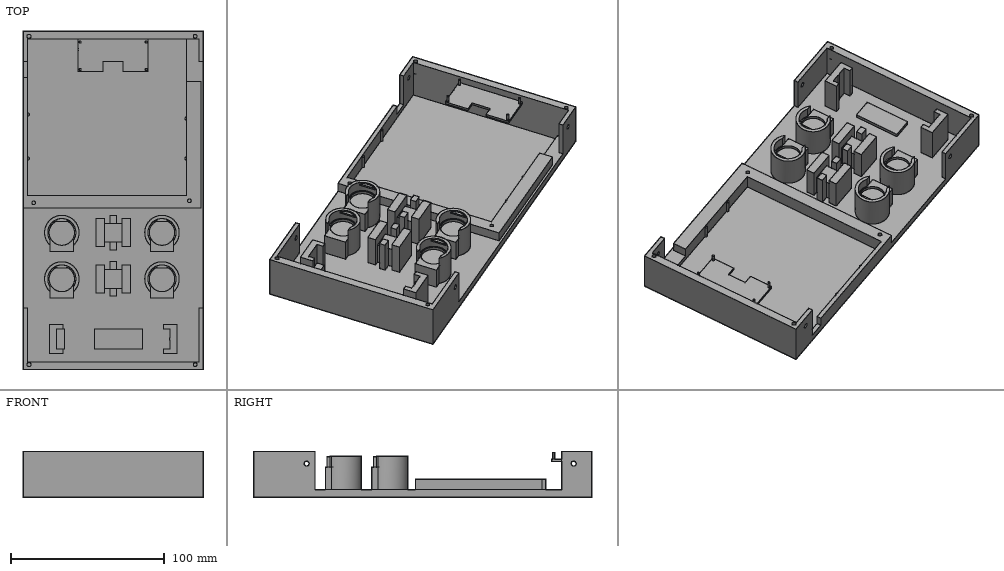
import cadquery as cq
WIDTH = 117.0
LENGTH = 220.0
HEIGHT = 30.0
BASE_HEIGHT = 5.0
END_WALL = 5.0
SIDE_WALL = 2.9
REAR_CHEEK_LENGTH = 19.8
FRONT_CHEEK_LENGTH = 40.0

SURROUND_HEIGHT = 11.9
SURROUND_FRONT = 105.2
SURROUND_LEFT_BACK = 190.0
SURROUND_RIGHT_BACK = 187.5
SURROUND_RIGHT = 115.5
BAY_FLOOR = 1.8
BAY_LEFT = SIDE_WALL
BAY_RIGHT = 106.3
BAY_FRONT = 113.0
BAY_BACK = LENGTH - END_WALL
PEG_DIAMETER = 2.2
PEG_TOP = 10.5
BAY_PEGS = [
    (BAY_LEFT, 165.9),
    (BAY_LEFT, 137.3),
    (BAY_RIGHT, 163.2),
    (BAY_RIGHT, 137.3),
]

CHEEK_HOLE_DIAMETER = 3.0
CHEEK_HOLE_HEIGHT = 22.0
CHEEK_HOLE_Y = [34.5, 208.1]
SCREW_DIAMETER = 2.5
LEFT_SCREW_DIAMETER = 2.6
SCREW_DEPTH = 10.0
SCREW_INSET = 3.3
LEFT_SCREW_X = 3.7
RIGHT_SCREW_X = 111.8
SURROUND_SCREWS = [(6.8, 108.5), (108.0, 109.8)]

SHELF_LEFT = 35.6
SHELF_RIGHT = 81.2
SHELF_FRONT = 193.8
SHELF_BOTTOM = 23.3
SHELF_THICKNESS = 1.5
SHELF_NOTCH_WIDTH = 13.0
SHELF_NOTCH_DEPTH = 6.4
SHELF_PIN_DIAMETER = 1.36
SHELF_PIN_HEIGHT = 4.5
SHELF_PIN_INSET = 1.3
SHELF_PIN_BACK_GAP = 2.0

REAR_ROW_Y = 89.0
ROW_PITCH = 30.1
ROW_Y = [REAR_ROW_Y, REAR_ROW_Y - ROW_PITCH]
LEFT_CUP_X = 25.0
CUP_SPACING = 65.1
CUP_X = [LEFT_CUP_X, LEFT_CUP_X + CUP_SPACING]
CUP_DIAMETER = 22.5
CUP_BORE = 18.3
CUP_TOP = 26.8
CUP_SEAT = 19.8
CUP_POCKET_DIAMETER = 16.5
CUP_POCKET_DEPTH = 2.0
CUP_OPENING = 15.2
CUP_BLOCK_REACH = 12.3
LIP_OFFSET = 7.3
LIP_BOTTOM = 24.6
LIP_THICKNESS = 1.0

GUIDE_PLATE_WIDTH = 5.5
GUIDE_PLATE_LENGTH = 18.3
GUIDE_PLATE_TOP = 26.8
GUIDE_SPAN = 22.7
GUIDE_CORE_LENGTH = 12.0
GUIDE_CORE_TOP = 19.8
GUIDE_POST_WIDTH = 4.0
GUIDE_POST_SPAN = 22.5
GUIDE_POST_TOP = 26.6

BRACKET_INSET = 17.2
BRACKET_WIDTH = 8.8
BRACKET_FRONT = 10.5
BRACKET_LENGTH = 19.0
BRACKET_TOP = 30.0
SLOT_LENGTH = 13.0
SLOT_DEPTH = 4.5
BUMP_DIAMETER = 2.5
BUMP_PROTRUSION = 0.5
INSERT_WIDTH = 5.3
INSERT_HEIGHT = 8.8
PAD_LEFT = 46.5
PAD_WIDTH = 31.2
PAD_HEIGHT = 2.2

MIDDLE_X = WIDTH / 2
BRACKET_Y = BRACKET_FRONT + BRACKET_LENGTH / 2


def box(x0, x1, y0, y1, z0, z1):
    """Box between two corners."""
    return cq.Workplane("XY").box(x1 - x0, y1 - y0, z1 - z0, centered=False).translate((x0, y0, z0))


def centred_box(x, y, width, length, z0, z1):
    """Box with its middle at (x, y)."""
    return box(x - width / 2, x + width / 2, y - length / 2, y + length / 2, z0, z1)


def rod(x, y, diameter, z0, z1):
    """Upright cylinder."""
    return cq.Workplane("XY").circle(diameter / 2).extrude(z1 - z0).translate((x, y, z0))


def make_shell():
    """Base plate, end walls and the four cheeks."""
    shell = box(0, WIDTH, 0, LENGTH, 0, HEIGHT)
    shell = shell.cut(
        box(SIDE_WALL, WIDTH - SIDE_WALL, END_WALL, LENGTH - END_WALL, BASE_HEIGHT, HEIGHT)
    )
    return shell.cut(
        box(0, WIDTH, FRONT_CHEEK_LENGTH, LENGTH - REAR_CHEEK_LENGTH, BASE_HEIGHT, HEIGHT)
    )


def add_bay(body):
    """Raised surround, sunken floor and half-round pegs on the bay walls."""
    body = body.union(
        box(0, BAY_RIGHT, SURROUND_FRONT, SURROUND_LEFT_BACK, BASE_HEIGHT, SURROUND_HEIGHT)
    )
    body = body.union(
        box(BAY_RIGHT, SURROUND_RIGHT, SURROUND_FRONT, SURROUND_RIGHT_BACK, BASE_HEIGHT, SURROUND_HEIGHT)
    )
    body = body.cut(box(BAY_LEFT, BAY_RIGHT, BAY_FRONT, BAY_BACK, BAY_FLOOR, SURROUND_HEIGHT))
    for x, y in BAY_PEGS:
        body = body.union(rod(x, y, PEG_DIAMETER, BAY_FLOOR, PEG_TOP))
    return body


def add_shelf(body):
    """Notched shelf on the rear wall with four mounting pins."""
    shelf_top = SHELF_BOTTOM + SHELF_THICKNESS
    middle = (SHELF_LEFT + SHELF_RIGHT) / 2
    shelf = box(SHELF_LEFT, SHELF_RIGHT, SHELF_FRONT, BAY_BACK, SHELF_BOTTOM, shelf_top)
    shelf = shelf.cut(
        centred_box(middle, SHELF_FRONT, SHELF_NOTCH_WIDTH, 2 * SHELF_NOTCH_DEPTH, SHELF_BOTTOM, shelf_top)
    )
    for x in (SHELF_LEFT + SHELF_PIN_INSET, SHELF_RIGHT - SHELF_PIN_INSET):
        for y in (SHELF_FRONT + SHELF_PIN_INSET, BAY_BACK - SHELF_PIN_BACK_GAP):
            shelf = shelf.union(rod(x, y, SHELF_PIN_DIAMETER, SHELF_BOTTOM, shelf_top + SHELF_PIN_HEIGHT))
    return body.union(shelf)


def make_cup(x, y):
    """Round cup, open at the front above a square block, with a lip at the back."""
    block = box(x - CUP_OPENING / 2, x + CUP_OPENING / 2, y - CUP_BLOCK_REACH, y, BASE_HEIGHT, CUP_SEAT)
    opening = box(x - CUP_OPENING / 2, x + CUP_OPENING / 2, y - CUP_DIAMETER, y, CUP_SEAT, CUP_TOP)
    lip_top = LIP_BOTTOM + LIP_THICKNESS
    lip = rod(x, y, CUP_DIAMETER, LIP_BOTTOM, lip_top).intersect(
        centred_box(x, y + LIP_OFFSET + CUP_DIAMETER / 2, CUP_DIAMETER, CUP_DIAMETER, LIP_BOTTOM, lip_top)
    )
    cup = rod(x, y, CUP_DIAMETER, BASE_HEIGHT, CUP_TOP).union(block)
    cup = cup.cut(rod(x, y, CUP_BORE, CUP_SEAT, CUP_TOP)).cut(opening)
    cup = cup.cut(rod(x, y, CUP_POCKET_DIAMETER, CUP_SEAT - CUP_POCKET_DEPTH, CUP_SEAT))
    return cup.union(lip)


def make_guide(y):
    """Pair of side plates joined by a core, with a post at each end."""
    guide = centred_box(MIDDLE_X, y, GUIDE_SPAN, GUIDE_CORE_LENGTH, BASE_HEIGHT, GUIDE_CORE_TOP)
    plate_offset = (GUIDE_SPAN - GUIDE_PLATE_WIDTH) / 2
    post_length = (GUIDE_POST_SPAN - GUIDE_CORE_LENGTH) / 2
    post_offset = (GUIDE_POST_SPAN - post_length) / 2
    for side in (-1, 1):
        guide = guide.union(
            centred_box(
                MIDDLE_X + side * plate_offset, y,
                GUIDE_PLATE_WIDTH, GUIDE_PLATE_LENGTH, BASE_HEIGHT, GUIDE_PLATE_TOP,
            )
        )
        guide = guide.union(
            centred_box(
                MIDDLE_X, y + side * post_offset,
                GUIDE_POST_WIDTH, post_length, BASE_HEIGHT, GUIDE_POST_TOP,
            )
        )
    return guide


def make_left_bracket():
    """Upright bracket with a slot that opens toward the middle."""
    right = BRACKET_INSET + BRACKET_WIDTH
    bracket = box(
        BRACKET_INSET, right, BRACKET_FRONT, BRACKET_FRONT + BRACKET_LENGTH, BASE_HEIGHT, BRACKET_TOP
    )
    return bracket.cut(
        centred_box(right, BRACKET_Y, 2 * SLOT_DEPTH, SLOT_LENGTH, BASE_HEIGHT, BRACKET_TOP)
    )


def make_right_bracket():
    """Mirror image of the left bracket, with a round bump on its slot floor."""
    bracket = make_left_bracket().mirror("YZ", (MIDDLE_X, 0, 0))
    slot_floor = WIDTH - BRACKET_INSET - BRACKET_WIDTH + SLOT_DEPTH
    bump_x = slot_floor + BUMP_DIAMETER / 2 - BUMP_PROTRUSION
    return bracket.union(rod(bump_x, BRACKET_Y, BUMP_DIAMETER, BASE_HEIGHT, BRACKET_TOP))


def cut_holes(body):
    """Cross holes in the cheeks and blind screw holes from above."""
    for y in CHEEK_HOLE_Y:
        cross = cq.Workplane("YZ").center(y, CHEEK_HOLE_HEIGHT).circle(CHEEK_HOLE_DIAMETER / 2)
        body = body.cut(cross.extrude(WIDTH))
    for y in (SCREW_INSET, LENGTH - SCREW_INSET):
        body = body.cut(rod(LEFT_SCREW_X, y, LEFT_SCREW_DIAMETER, HEIGHT - SCREW_DEPTH, HEIGHT))
        body = body.cut(rod(RIGHT_SCREW_X, y, SCREW_DIAMETER, HEIGHT - SCREW_DEPTH, HEIGHT))
    for x, y in SURROUND_SCREWS:
        body = body.cut(rod(x, y, SCREW_DIAMETER, SURROUND_HEIGHT - SCREW_DEPTH, SURROUND_HEIGHT))
    return body


def make_housing():
    """Complete housing with everything that is fixed to it."""
    body = add_shelf(add_bay(make_shell()))
    for y in ROW_Y:
        for x in CUP_X:
            body = body.union(make_cup(x, y))
        body = body.union(make_guide(y))
    body = body.union(make_left_bracket()).union(make_right_bracket())
    return cut_holes(body)


def make_slot_insert():
    """Bar standing in the slot of the left bracket."""
    left = BRACKET_INSET + BRACKET_WIDTH - SLOT_DEPTH
    return box(
        left, left + INSERT_WIDTH, BRACKET_Y - SLOT_LENGTH / 2, BRACKET_Y + SLOT_LENGTH / 2,
        BASE_HEIGHT, BASE_HEIGHT + INSERT_HEIGHT,
    )


def make_floor_pad():
    """Flat pad on the base, in line with the bracket slots."""
    return box(
        PAD_LEFT, PAD_LEFT + PAD_WIDTH, BRACKET_Y - SLOT_LENGTH / 2, BRACKET_Y + SLOT_LENGTH / 2,
        BASE_HEIGHT, BASE_HEIGHT + PAD_HEIGHT,
    )


housing = make_housing()
slot_insert = make_slot_insert()
floor_pad = make_floor_pad()
result = cq.Compound.makeCompound([housing.val(), slot_insert.val(), floor_pad.val()])